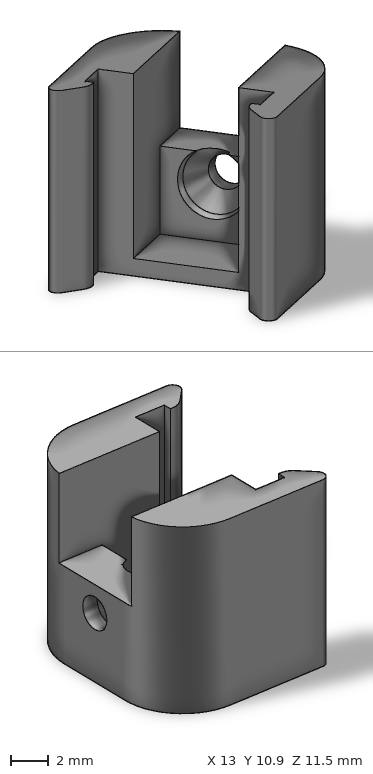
import cadquery as cq
import math

width = 13.0
depth = 10.9
height = 11.5
back_corner_radius = 4.0
half_width = width / 2
back_y = depth
tip_y = 0.0

body_depth = 7.0
leg_thickness = 1.5
hook_thickness = 2.0
lip_depth = 9.0
tip_radius = 0.5
hook_round_radius = 1.0

channel_width = 6.0
floor_thickness = 1.0
back_wall_thickness = 3.0
back_wall_top = 6.0

hole_diameter = 2.0
head_diameter = 4.0
head_inner_diameter = 3.77
head_rim_depth = 0.5
countersink_depth = 2.0
hole_z = 4.25


def make_body():
    """Extrude the U-shaped plan with rounded back corners and hooked legs."""
    front_y = back_y - body_depth
    lip_y = back_y - lip_depth
    leg_x = half_width - leg_thickness
    hook_x = half_width - hook_thickness
    tip_x = half_width - tip_radius
    tip_center_y = tip_y + tip_radius

    diagonal = math.sqrt(0.5)
    tip_tangent_x = tip_x - tip_radius * diagonal
    tip_tangent_y = tip_center_y - tip_radius * diagonal
    hook_round_x = hook_x + hook_round_radius * (1 - diagonal)
    hook_round_y = tip_tangent_y + tip_tangent_x - hook_round_x
    hook_flat_y = hook_round_y + hook_round_radius * diagonal

    half_sweep = math.radians(22.5)
    hook_mid_x = hook_x + hook_round_radius * (1 - math.cos(half_sweep))
    hook_mid_y = hook_flat_y - hook_round_radius * math.sin(half_sweep)

    corner_x = half_width - back_corner_radius
    corner_y = back_y - back_corner_radius
    corner_mid = (corner_x + back_corner_radius * diagonal, corner_y + back_corner_radius * diagonal)

    half_body = (
        cq.Workplane("XY")
        .moveTo(0, back_y)
        .lineTo(corner_x, back_y)
        .threePointArc(corner_mid, (half_width, corner_y))
        .lineTo(half_width, tip_center_y)
        .threePointArc((tip_x, tip_y), (tip_tangent_x, tip_tangent_y))
        .lineTo(hook_round_x, hook_round_y)
        .threePointArc((hook_mid_x, hook_mid_y), (hook_x, hook_flat_y))
        .lineTo(hook_x, lip_y)
        .lineTo(leg_x, lip_y)
        .lineTo(leg_x, front_y)
        .lineTo(0, front_y)
        .close()
        .extrude(height)
    )
    return half_body.union(half_body.mirror("YZ"))


def channel_box(y_end, z_start):
    """Box across the channel, from the leg tips to y_end and from z_start to the top."""
    return cq.Workplane("XY").box(
        channel_width, y_end - tip_y, height - z_start, centered=(True, False, False)
    ).translate((0, tip_y, z_start))


def make_screw_hole():
    """Revolve a slightly tapered rim, a countersink cone and a through hole."""
    radius = hole_diameter / 2
    return (
        cq.Workplane("XY")
        .moveTo(0, 0)
        .lineTo(head_diameter / 2, 0)
        .lineTo(head_inner_diameter / 2, head_rim_depth)
        .lineTo(radius, countersink_depth)
        .lineTo(radius, back_wall_thickness)
        .lineTo(0, back_wall_thickness)
        .close()
        .revolve(360, (0, 0, 0), (0, 1, 0))
        .translate((0, back_y - back_wall_thickness, hole_z))
    )


result = (
    make_body()
    .cut(channel_box(back_y - back_wall_thickness, floor_thickness))
    .cut(channel_box(back_y, back_wall_top))
    .cut(make_screw_hole())
)